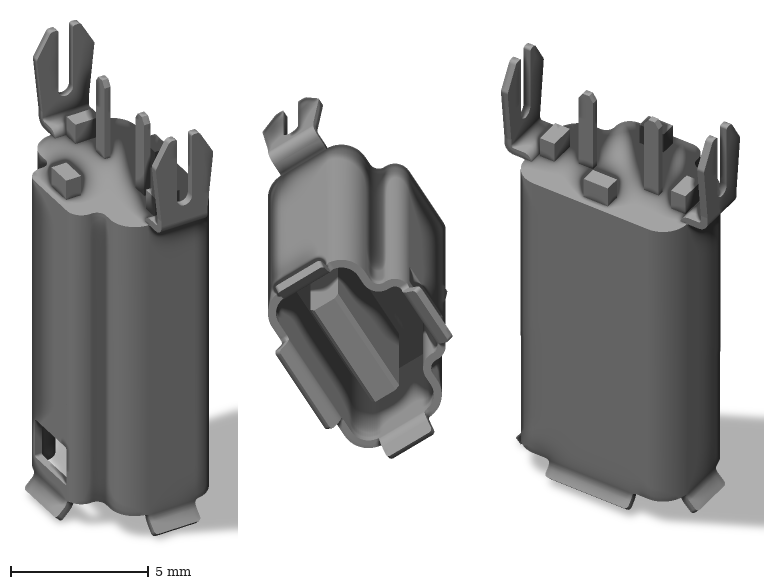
import cadquery as cq
import math

OVERALL_X = 8.8
OVERALL_Z = 17.43

SHEET = 0.3
BODY_HEIGHT = 12.57
BODY_HALF_X = 3.5
BODY_HALF_Y = 2.0
BODY_RADIUS = 1.03
KEY_HALF_X = 1.78
KEY_FRONT_Y = -3.07
KEY_RADIUS = 0.61
NECK_RADIUS = 0.37

CAVITY_DEPTH = 6.27
TONGUE_HALF_X = 2.1
TONGUE_HALF_Y = 0.6
TONGUE_END_Z = 0.42
TONGUE_TAPER_HEIGHT = 0.28
TONGUE_TAPER_DEPTH = 0.15

WINDOW_WIDTH = 2.25
WINDOW_BOTTOM = 0.6
WINDOW_TOP = 2.23
WINDOW_RADIUS = 0.09

TAB_STRAIGHT = 0.05
TAB_BEND_RADIUS = 0.35
TAB_ANGLE = math.radians(45)
TAB_FLARE = 0.5
BACK_TAB_FLARE = 0.35
TAB_ROOT_RADIUS = 0.15
TAB_TIP_RADIUS = 0.14
SIDE_FLAT_HALF = BODY_HALF_Y - BODY_RADIUS
FRONT_FLAT_HALF = KEY_HALF_X - KEY_RADIUS
BACK_TAB_HALF = 1.8
TAB_DROP = (
    TAB_STRAIGHT
    + (TAB_BEND_RADIUS + SHEET) * math.sin(TAB_ANGLE)
    + TAB_FLARE * math.cos(TAB_ANGLE)
)

CLIP_OUTER_X = OVERALL_X / 2
CLIP_HEIGHT = OVERALL_Z - BODY_HEIGHT - TAB_DROP
WALL_BEND_RADIUS = 0.09
FORK_BEND_RADIUS = 0.1
FORK_BASE = 0.65
FORK_SHOULDER_HALF = 1.22
FORK_SHOULDER = 2.96
FORK_TIP_HALF = 0.63
FORK_RADIUS = 0.17
SLOT_HALF = 0.31
SLOT_BOTTOM = 1.05
PRONG_INNER_RADIUS = 0.09

PIN_PITCH = 2.84
PIN_THICKNESS = 0.26
PIN_HALF_X = 0.31
PIN_HEIGHT = 3.33
PIN_TIP_HALF = 0.14
PIN_TIP_HEIGHT = 0.26

BLOCK_LENGTH = 1.05
BLOCK_WIDTH = 0.63
BLOCK_HEIGHT = 0.84
SIDE_BLOCK_X = 2.84
BACK_BLOCK_Y = 1.36
FRONT_BLOCK_Y = -2.4


def shell_prism(inset, height):
    """Upright prism with the rounded T-shaped shell outline, moved inwards by inset."""
    side = BODY_HALF_X - inset
    back = BODY_HALF_Y - inset
    key = KEY_HALF_X - inset
    wide = cq.Workplane("XY").rect(2 * side, 2 * back).extrude(height)
    wide = wide.edges("|Z").fillet(BODY_RADIUS - inset)
    neck_radius = NECK_RADIUS + inset
    corner = KEY_RADIUS - inset
    front = KEY_FRONT_Y + inset
    key_outline = (
        cq.Workplane("XY")
        .moveTo(-key - neck_radius, -back)
        .radiusArc((-key, -back - neck_radius), neck_radius)
        .lineTo(-key, front + corner)
        .radiusArc((-key + corner, front), -corner)
        .lineTo(key - corner, front)
        .radiusArc((key, front + corner), -corner)
        .lineTo(key, -back - neck_radius)
        .radiusArc((key + neck_radius, -back), neck_radius)
        .lineTo(key, 0)
        .lineTo(-key, 0)
        .close()
    )
    return wide.union(key_outline.extrude(height))


def tongue():
    """Contact tongue hanging from the cavity ceiling, tapered at its free end."""
    end_half = TONGUE_HALF_Y - TONGUE_TAPER_DEPTH
    taper_top = TONGUE_END_Z + TONGUE_TAPER_HEIGHT
    return (
        cq.Workplane("YZ")
        .polyline([
            (-TONGUE_HALF_Y, CAVITY_DEPTH),
            (-TONGUE_HALF_Y, taper_top),
            (-end_half, TONGUE_END_Z),
            (end_half, TONGUE_END_Z),
            (TONGUE_HALF_Y, taper_top),
            (TONGUE_HALF_Y, CAVITY_DEPTH),
        ])
        .close()
        .extrude(TONGUE_HALF_X, both=True)
    )


def window():
    """Rounded rectangular opening through the front wall."""
    return (
        cq.Workplane("XZ", origin=(0, KEY_FRONT_Y, (WINDOW_BOTTOM + WINDOW_TOP) / 2))
        .rect(WINDOW_WIDTH, WINDOW_TOP - WINDOW_BOTTOM)
        .extrude(-2 * SHEET)
        .edges("|Y")
        .fillet(WINDOW_RADIUS)
    )


def tab(half_width, flare):
    """Rim tab bent outwards; its wall's outer face lies on y = 0 and it flares towards -Y."""
    sine = math.sin(TAB_ANGLE)
    cosine = math.cos(TAB_ANGLE)

    def bend_point(radius, angle):
        return (
            -TAB_BEND_RADIUS + radius * math.cos(angle),
            -TAB_STRAIGHT - radius * math.sin(angle),
        )

    inner_radius = TAB_BEND_RADIUS + SHEET
    outer_bend_end = bend_point(TAB_BEND_RADIUS, TAB_ANGLE)
    inner_bend_end = bend_point(inner_radius, TAB_ANGLE)
    outer_tip = (outer_bend_end[0] - flare * sine, outer_bend_end[1] - flare * cosine)
    inner_tip = (inner_bend_end[0] - flare * sine, inner_bend_end[1] - flare * cosine)
    root_half = half_width + TAB_ROOT_RADIUS
    strip = (
        cq.Workplane("YZ")
        .moveTo(0, 0)
        .lineTo(0, -TAB_STRAIGHT)
        .threePointArc(bend_point(TAB_BEND_RADIUS, TAB_ANGLE / 2), outer_bend_end)
        .lineTo(*outer_tip)
        .lineTo(*inner_tip)
        .lineTo(*inner_bend_end)
        .threePointArc(bend_point(inner_radius, TAB_ANGLE / 2), (SHEET, -TAB_STRAIGHT))
        .lineTo(SHEET, 0)
        .close()
        .extrude(root_half, both=True)
    )
    outline = (
        cq.Workplane("XZ", origin=(0, SHEET, 0))
        .moveTo(-root_half, 0)
        .radiusArc((-half_width, -TAB_ROOT_RADIUS), TAB_ROOT_RADIUS)
        .lineTo(-half_width, inner_tip[1])
        .lineTo(half_width, inner_tip[1])
        .lineTo(half_width, -TAB_ROOT_RADIUS)
        .radiusArc((root_half, 0), TAB_ROOT_RADIUS)
        .close()
        .extrude(SHEET - outer_tip[0])
    )
    bent = strip.intersect(outline)
    end_centre = (0, (outer_tip[0] + inner_tip[0]) / 2, (outer_tip[1] + inner_tip[1]) / 2)
    end_face = bent.faces(cq.selectors.NearestToPointSelector(end_centre))
    return end_face.edges("not |X").fillet(TAB_TIP_RADIUS)


def fork():
    """Two-pronged clip outline as a plate that spans the clip in X."""
    plate = (
        cq.Workplane("YZ", origin=(-CLIP_OUTER_X, 0, BODY_HEIGHT))
        .polyline([
            (-SIDE_FLAT_HALF, -CLIP_HEIGHT),
            (-SIDE_FLAT_HALF, FORK_BASE),
            (-FORK_SHOULDER_HALF, FORK_SHOULDER),
            (-FORK_TIP_HALF, CLIP_HEIGHT),
            (FORK_TIP_HALF, CLIP_HEIGHT),
            (FORK_SHOULDER_HALF, FORK_SHOULDER),
            (SIDE_FLAT_HALF, FORK_BASE),
            (SIDE_FLAT_HALF, -CLIP_HEIGHT),
        ])
        .close()
        .extrude(CLIP_OUTER_X)
    )
    prong_corners = plate.edges("|X").filter(lambda edge: edge.Center().z > BODY_HEIGHT + SLOT_BOTTOM)
    plate = plate.newObject(prong_corners.vals()).fillet(FORK_RADIUS)
    slot = (
        cq.Workplane("YZ", origin=(-CLIP_OUTER_X, 0, BODY_HEIGHT))
        .moveTo(-SLOT_HALF, CLIP_HEIGHT)
        .lineTo(-SLOT_HALF, SLOT_BOTTOM + SLOT_HALF)
        .threePointArc((0, SLOT_BOTTOM), (SLOT_HALF, SLOT_BOTTOM + SLOT_HALF))
        .lineTo(SLOT_HALF, CLIP_HEIGHT)
        .close()
        .extrude(CLIP_OUTER_X)
    )
    prongs = plate.cut(slot)
    slot_edges = prongs.faces(">Z").edges("|X").filter(
        lambda edge: math.isclose(abs(edge.Center().y), SLOT_HALF)
    )
    return prongs.newObject(slot_edges.vals()).fillet(PRONG_INNER_RADIUS)


def clip():
    """Board clip of the left wall: bent outwards over the top edge, then up into a fork."""
    wall_bend_outer = WALL_BEND_RADIUS + SHEET
    fork_bend_outer = FORK_BEND_RADIUS + SHEET
    wall_bend_x = -BODY_HALF_X - WALL_BEND_RADIUS
    fork_bend_x = -CLIP_OUTER_X + fork_bend_outer
    wall_inner_x = -BODY_HALF_X + SHEET
    plate_inner_x = -CLIP_OUTER_X + SHEET
    profile = (
        cq.Workplane("XZ", origin=(0, 0, BODY_HEIGHT))
        .moveTo(wall_inner_x, -WALL_BEND_RADIUS)
        .radiusArc((wall_bend_x, SHEET), -wall_bend_outer)
        .lineTo(fork_bend_x, SHEET)
        .radiusArc((plate_inner_x, fork_bend_outer), FORK_BEND_RADIUS)
        .lineTo(plate_inner_x, CLIP_HEIGHT)
        .lineTo(-CLIP_OUTER_X, CLIP_HEIGHT)
        .lineTo(-CLIP_OUTER_X, fork_bend_outer)
        .radiusArc((fork_bend_x, 0), -fork_bend_outer)
        .lineTo(wall_bend_x, 0)
        .radiusArc((-BODY_HALF_X, -WALL_BEND_RADIUS), WALL_BEND_RADIUS)
        .close()
    )
    strip = profile.extrude(FORK_SHOULDER_HALF, both=True)
    return strip.intersect(fork())


def pin(x):
    """Flat contact pin with a tapered tip."""
    return (
        cq.Workplane("XZ", origin=(x, 0, BODY_HEIGHT))
        .polyline([
            (-PIN_HALF_X, 0),
            (-PIN_HALF_X, PIN_HEIGHT - PIN_TIP_HEIGHT),
            (-PIN_TIP_HALF, PIN_HEIGHT),
            (PIN_TIP_HALF, PIN_HEIGHT),
            (PIN_HALF_X, PIN_HEIGHT - PIN_TIP_HEIGHT),
            (PIN_HALF_X, 0),
        ])
        .close()
        .extrude(PIN_THICKNESS / 2, both=True)
    )


def block(x, y, size_x, size_y):
    """Rectangular standoff on the top face."""
    return cq.Workplane("XY", origin=(x, y, BODY_HEIGHT)).rect(size_x, size_y).extrude(BLOCK_HEIGHT)


result = shell_prism(0, BODY_HEIGHT)
result = result.cut(shell_prism(SHEET, CAVITY_DEPTH).cut(tongue()))
result = result.cut(window())

result = result.union(tab(FRONT_FLAT_HALF, TAB_FLARE).translate((0, KEY_FRONT_Y, 0)))
back_tab = tab(BACK_TAB_HALF, BACK_TAB_FLARE).rotate((0, 0, 0), (0, 0, 1), 180)
result = result.union(back_tab.translate((0, BODY_HALF_Y, 0)))
left_tab = tab(SIDE_FLAT_HALF, TAB_FLARE).rotate((0, 0, 0), (0, 0, 1), -90)
left_tab = left_tab.translate((-BODY_HALF_X, 0, 0))
result = result.union(left_tab).union(left_tab.mirror("YZ"))

left_clip = clip()
result = result.union(left_clip).union(left_clip.mirror("YZ"))

for side in (-1, 1):
    result = result.union(pin(side * PIN_PITCH / 2))
    result = result.union(block(side * SIDE_BLOCK_X, 0, BLOCK_WIDTH, BLOCK_LENGTH))
for block_y in (BACK_BLOCK_Y, FRONT_BLOCK_Y):
    result = result.union(block(0, block_y, BLOCK_LENGTH, BLOCK_WIDTH))